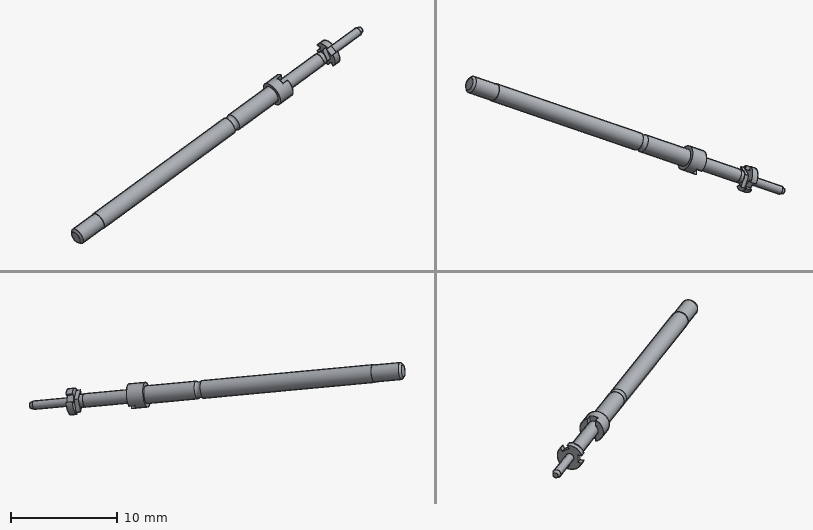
import cadquery as cq
import math


total_length = 37.0
front_chamfer_length = 0.22
front_plug_end = 2.92
groove_centre = 20.15
groove_width = 0.6
collar_start = 25.45
collar_end = 27.1
neck_start = 31.6
bar_start = 32.0
crown_start = 32.45
crown_end = 33.08
pin_chamfer_length = 0.37

front_face_diameter = 1.2
front_plug_diameter = 1.63
barrel_diameter = 1.7
groove_diameter = 1.48
collar_diameter = 2.35
plunger_diameter = 1.3
neck_diameter = 1.25
crown_diameter = 2.5
pin_diameter = 0.8
pin_tip_diameter = 0.5

key_slot_width = 0.8
key_slot_length = 0.6
crown_slot_width = 0.78
crown_slot_floor = 0.8
crown_slot_angles = (60, 180, 300)

bar_height = 2.2
bar_width = bar_height * math.tan(math.radians(30))


def revolved(profile):
    """A half profile in the XY plane turned a full circle about the Y axis."""
    return profile.revolve(360, (0, 0, 0), (0, 1, 0))


def front_shaft():
    """Front plug, grooved barrel, collar, plunger and neck, up to the diamond bar."""
    groove_start = groove_centre - groove_width / 2
    groove_end = groove_centre + groove_width / 2
    barrel_radius = barrel_diameter / 2
    profile = (
        cq.Workplane("XY")
        .lineTo(front_face_diameter / 2, 0)
        .lineTo(front_plug_diameter / 2, front_chamfer_length)
        .lineTo(front_plug_diameter / 2, front_plug_end)
        .lineTo(barrel_radius, front_plug_end)
        .lineTo(barrel_radius, groove_start)
        .threePointArc((groove_diameter / 2, groove_centre), (barrel_radius, groove_end))
        .lineTo(barrel_radius, collar_start)
        .lineTo(collar_diameter / 2, collar_start)
        .lineTo(collar_diameter / 2, collar_end)
        .lineTo(plunger_diameter / 2, collar_end)
        .lineTo(plunger_diameter / 2, neck_start)
        .lineTo(neck_diameter / 2, neck_start)
        .lineTo(neck_diameter / 2, bar_start)
        .lineTo(0, bar_start)
        .close()
    )
    return revolved(profile)


def crown_and_pin():
    """The crown disc and the thin rear pin with its tapered tip."""
    profile = (
        cq.Workplane("XY")
        .moveTo(0, crown_start)
        .lineTo(crown_diameter / 2, crown_start)
        .lineTo(crown_diameter / 2, crown_end)
        .lineTo(pin_diameter / 2, crown_end)
        .lineTo(pin_diameter / 2, total_length - pin_chamfer_length)
        .lineTo(pin_tip_diameter / 2, total_length)
        .lineTo(0, total_length)
        .close()
    )
    return revolved(profile)


def box_between(x_range, y_range, z_range):
    """A box given by its lower and upper limits along each axis."""
    ranges = (x_range, y_range, z_range)
    size = [high - low for low, high in ranges]
    return cq.Workplane("XY").box(*size, centered=False).translate([low for low, high in ranges])


def collar_key_slots():
    """Two slots in the rear of the collar, above and below, down to the plunger."""
    half_width = key_slot_width / 2
    slot = box_between(
        (-half_width, half_width),
        (collar_end - key_slot_length, collar_end),
        (-collar_diameter, collar_diameter),
    )
    plunger = (
        cq.Workplane("XZ", origin=(0, collar_end, 0))
        .circle(plunger_diameter / 2)
        .extrude(key_slot_length)
    )
    return slot.cut(plunger)


def crown_slot(angle):
    """A flat-floored slot through the crown rim, at an angle from +X toward +Z."""
    half_width = crown_slot_width / 2
    slot = box_between(
        (crown_slot_floor, crown_diameter),
        (crown_start, crown_end),
        (-half_width, half_width),
    )
    return slot.rotate((0, 0, 0), (0, 1, 0), -angle)


def diamond_bar():
    """The diamond-section bar against the front of the crown."""
    corners = [
        (bar_width / 2, 0),
        (0, bar_height / 2),
        (-bar_width / 2, 0),
        (0, -bar_height / 2),
    ]
    bar_length = crown_start - bar_start
    return cq.Workplane("XZ", origin=(0, crown_start, 0)).polyline(corners).close().extrude(bar_length)


result = front_shaft().cut(collar_key_slots()).union(diamond_bar()).union(crown_and_pin())
for slot_angle in crown_slot_angles:
    result = result.cut(crown_slot(slot_angle))